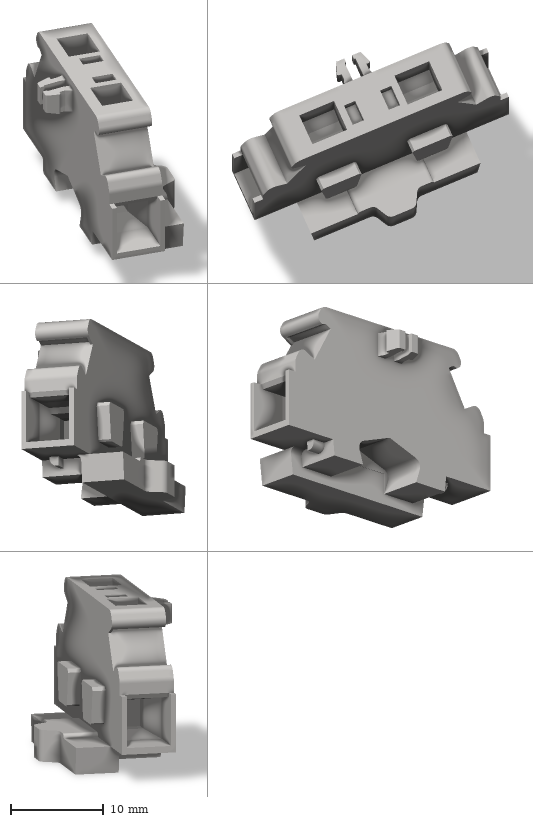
import cadquery as cq
import math


half_length = 15.0
housing_width = 6.05
housing_top = 18.0
housing_base = 3.0
wall = 0.55

lip_angle = math.radians(30)
steep_run = math.tan(lip_angle)
socket_top = 9.4
hump_side = 14.0
hump_corner_z = 10.9
hump_corner_radius = 0.92
hump_peak = (13.12, 12.49)
hump_peak_radius = 0.8
notch_root = (11.17, 11.5)
lip_corner_z = 15.28
hook_top_x = 9.97
hook_top_radius = 0.94
hook_side_radius = 0.75

undercut_depth = 0.35
undercut_length = 0.82
undercut_start = 1.2
undercut_back_wall = 0.3

foot_bottom = 1.2
foot_outer_top = 8.4
foot_outer_bottom = 8.2
foot_inner = 3.95
arch_corner = (4.77, 3.68)
arch_corner_radius = 0.95
arch_peak = 5.32
arch_depth = 5.0

clip_front = 5.05
clip_back = 9.88
clip_half_top = 10.0
clip_half_bottom = 9.63
clip_fillet = 0.65
tongue_half = 4.5
tongue_top = 3.5
tongue_edge_radius = 0.5
tongue_tip_y = 11.79
tongue_base_half = 2.55
tongue_tip_half = 1.56
tongue_curve_radius = 0.8

rib_front = 1.43
rib_back = 2.45
rib_bottom = 2.0
rib_radius = 0.8

socket_floor_thickness = 0.73
socket_floor = housing_base + socket_floor_thickness
socket_ceiling = 8.88
socket_lead_in = 0.3
funnel_start = 10.75
funnel_step = 9.4
funnel_step_top = 8.53
funnel_lip = 9.05
funnel_lip_top = 7.9
funnel_end = 7.8
throat_front = 1.83
throat_back = 4.22
throat_floor = 4.36
throat_top = 7.63
throat_end = 6.4

screw_x = (3.57, 7.66)
screw_y = (1.34, 4.89)
screw_flat_y = (2.62, 3.64)
screw_wall_depth = 3.1
screw_depth = 3.65
test_x = (1.47, 2.79)
test_y = (2.25, 4.63)
test_depth = 1.25

plate_thickness = 1.45
plate_inner = 3.0
plate_outer = 7.75
plate_top = 9.14
plate_bottom = 4.88
plate_shoulder = 8.73
plate_heel = 5.08
plate_bevel = 0.25
plate_taper = 0.55

pin_length = 3.0
pin_root = 1.75
pin_neck = 1.46
pin_neck_start = 0.8
pin_barb = 1.94
pin_barb_start = 1.43
pin_barb_corner = 0.15
pin_inner = 0.64
pin_toe_inner = 0.46
pin_toe_start = 2.52
pin_bottom = 14.28
pin_top = 16.93
pin_tip_inset = 0.27
pin_tip_radius = 0.25


def extrude_y(points, y_start, y_end):
    """Prism with an X-Z outline between two Y positions."""
    sketch = cq.Workplane("XZ", origin=(0, y_start, 0)).polyline(points).close()
    return sketch.extrude(y_start - y_end)


def extrude_x(points, x_start, x_end):
    """Prism with a Y-Z outline between two X positions."""
    return cq.Workplane("YZ", origin=(x_start, 0, 0)).polyline(points).close().extrude(x_end - x_start)


def box(x_range, y_range, z_range):
    sizes = [span[1] - span[0] for span in (x_range, y_range, z_range)]
    corner = (x_range[0], y_range[0], z_range[0])
    return cq.Workplane("XY", origin=corner).box(*sizes, centered=False)


def round_y_edge(solid, corner, radius):
    """Round the edge along Y that passes nearest to an X-Z corner."""
    middle = (corner[0], housing_width / 2, corner[1])
    return solid.edges("|Y").edges(cq.selectors.NearestToPointSelector(middle)).fillet(radius)


def both_sides(solid):
    return solid.union(solid.mirror("YZ"))


def slant_x(z):
    """X of the 60 degree notch flank at height z."""
    return notch_root[0] - (z - notch_root[1]) * steep_run


lip_corner = (slant_x(lip_corner_z), lip_corner_z)


def lip_point(distance):
    """Point on the hook underside, which is square to the notch flank."""
    return (lip_corner[0] + distance * math.cos(lip_angle), lip_corner[1] + distance * math.sin(lip_angle))


def make_half_housing():
    hook_top = (hook_top_x, housing_top)
    lip_length = ((hook_top_x - lip_corner[0]) * math.cos(lip_angle)
                  + (housing_top - lip_corner[1]) * math.sin(lip_angle))
    hook_side = lip_point(lip_length)
    hump_corner = (hump_side, hump_corner_z)
    outline = [
        (0, housing_base), (half_length, housing_base), (half_length, socket_top),
        (hump_side, socket_top), hump_corner, hump_peak, notch_root, lip_corner,
        hook_side, hook_top, (0, housing_top),
    ]
    half = extrude_y(outline, 0, housing_width)
    half = round_y_edge(half, hump_corner, hump_corner_radius)
    half = round_y_edge(half, hump_peak, hump_peak_radius)
    half = round_y_edge(half, hook_side, hook_side_radius)
    return round_y_edge(half, hook_top, hook_top_radius)


def make_undercut():
    top_z = lip_corner_z + undercut_depth
    top = (slant_x(top_z), top_z)
    back = (top[0] + undercut_length * math.cos(lip_angle), top[1] + undercut_length * math.sin(lip_angle))
    outline = [lip_corner, top, back, lip_point(undercut_start)]
    return extrude_y(outline, 0, housing_width - undercut_back_wall)


def make_foot():
    outline = [
        (0, housing_base), (foot_outer_top, housing_base),
        (foot_outer_bottom, foot_bottom), (0, foot_bottom),
    ]
    return extrude_y(outline, 0, clip_front)


def make_arch():
    """Rounded roof-shaped recess between the feet, closed by a thin back wall."""
    left = (-arch_corner[0], arch_corner[1])
    outline = [
        (-foot_inner, foot_bottom), left, (0, arch_peak), arch_corner, (foot_inner, foot_bottom),
    ]
    arch = extrude_y(outline, 0, arch_depth)
    arch = round_y_edge(arch, arch_corner, arch_corner_radius)
    arch = round_y_edge(arch, left, arch_corner_radius)
    window = box((-foot_inner, foot_inner), (0, clip_front), (foot_bottom, tongue_top))
    return arch.union(window)


def make_clip_prism(y_start, y_end):
    """Stretch of the clip plate with its tapered sides."""
    outline = [
        (-clip_half_bottom, 0), (clip_half_bottom, 0),
        (clip_half_top, housing_base), (-clip_half_top, housing_base),
    ]
    return extrude_y(outline, y_start, y_end)


def make_clip():
    plate = make_clip_prism(clip_front, clip_back)
    pad = box((-tongue_half, tongue_half), (clip_front, clip_back), (0, tongue_top))
    pad = pad.edges("|Y and >Z").fillet(tongue_edge_radius)
    flat_half = tongue_half - tongue_edge_radius
    tongue_plan = [
        (-flat_half, clip_front), (-flat_half, clip_back), (-tongue_base_half, clip_back),
        (-tongue_tip_half, tongue_tip_y), (tongue_tip_half, tongue_tip_y),
        (tongue_base_half, clip_back), (flat_half, clip_back), (flat_half, clip_front),
    ]
    tongue = cq.Workplane("XY").polyline(tongue_plan).close().extrude(tongue_top)
    for half_width, y in ((tongue_base_half, clip_back), (tongue_tip_half, tongue_tip_y)):
        for x in (-half_width, half_width):
            corner = cq.selectors.NearestToPointSelector((x, y, tongue_top / 2))
            tongue = tongue.edges("|Z").edges(corner).fillet(tongue_curve_radius)
    return plate.union(pad).union(tongue)


def make_clip_fillet():
    """Concave fillet between the clip front and the housing underside."""
    start = (clip_front, housing_base - clip_fillet)
    end = (clip_front - clip_fillet, housing_base)
    middle_offset = clip_fillet * (1 - math.sqrt(0.5))
    middle = (clip_front - middle_offset, housing_base - middle_offset)
    sketch = cq.Workplane("YZ", origin=(foot_outer_bottom, 0, 0)).moveTo(*start)
    sketch = sketch.threePointArc(middle, end).lineTo(clip_front, housing_base).close()
    fillet = sketch.extrude(clip_half_top - foot_outer_bottom)
    return fillet.intersect(make_clip_prism(0, clip_front))


def make_rib():
    rib = box((foot_outer_bottom, clip_half_top), (rib_front, rib_back), (rib_bottom, housing_base))
    rib = rib.edges("|X and <Y and <Z").fillet(rib_radius)
    return rib.intersect(make_clip_prism(0, clip_front))


def make_socket():
    """Straight mouth, then a funnel narrowing to a rectangular throat."""
    mouth_front = wall
    mouth_back = housing_width - wall
    side = [
        (half_length, socket_floor), (half_length, socket_top), (hump_side, socket_top),
        (hump_side - socket_lead_in, socket_ceiling), (funnel_start, socket_ceiling),
        (funnel_step, funnel_step_top), (funnel_lip, funnel_lip_top), (funnel_end, throat_top),
        (funnel_end, throat_floor), (funnel_start, socket_floor),
    ]
    plan = [
        (half_length, mouth_front), (half_length, mouth_back), (funnel_start, mouth_back),
        (funnel_end, throat_back), (funnel_end, throat_front), (funnel_start, mouth_front),
    ]
    narrowing = cq.Workplane("XY").polyline(plan).close().extrude(housing_top)
    funnel = extrude_y(side, mouth_front, mouth_back).intersect(narrowing)
    throat = box((throat_end, funnel_end), (throat_front, throat_back), (throat_floor, throat_top))
    return funnel.union(throat)


def make_screw_pocket():
    shoulder = housing_top - screw_wall_depth
    floor = housing_top - screw_depth
    outline = [
        (screw_y[0], housing_top), (screw_y[0], shoulder), (screw_flat_y[0], floor),
        (screw_flat_y[1], floor), (screw_y[1], shoulder), (screw_y[1], housing_top),
    ]
    return extrude_x(outline, *screw_x)


def make_test_pocket():
    return box(test_x, test_y, (housing_top - test_depth, housing_top))


def make_back_plate():
    outline = [
        (plate_inner + plate_bevel, plate_top), (plate_outer - plate_bevel, plate_top),
        (plate_outer, plate_shoulder), (plate_outer - plate_taper, plate_heel),
        (plate_outer - plate_taper - plate_bevel, plate_bottom),
        (plate_inner + plate_taper + plate_bevel, plate_bottom),
        (plate_inner + plate_taper, plate_heel), (plate_inner, plate_shoulder),
    ]
    return extrude_y(outline, housing_width, housing_width + plate_thickness)


def make_pin():
    plan = [
        (pin_inner, 0), (pin_root, 0), (pin_neck, -pin_neck_start), (pin_neck, -pin_barb_start),
        (pin_barb - pin_barb_corner, -pin_barb_start),
        (pin_barb, -pin_barb_start - pin_barb_corner), (pin_neck, -pin_length),
        (pin_toe_inner, -pin_length), (pin_toe_inner, -pin_toe_start), (pin_inner, -pin_toe_start),
    ]
    side = [
        (0, pin_bottom), (0, pin_top), (-pin_neck_start, pin_top),
        (-pin_length, pin_top - pin_tip_inset), (-pin_length, pin_bottom + pin_tip_inset),
        (-pin_neck_start, pin_bottom),
    ]
    pin = cq.Workplane("XY", origin=(0, 0, pin_bottom)).polyline(plan).close()
    pin = pin.extrude(pin_top - pin_bottom)
    tip_corner = cq.selectors.NearestToPointSelector((pin_neck, -pin_length, (pin_bottom + pin_top) / 2))
    pin = pin.edges("|Z").edges(tip_corner).fillet(pin_tip_radius)
    return pin.intersect(extrude_x(side, 0, pin_barb))


half_body = make_half_housing().union(make_foot()).union(make_clip_fillet()).union(make_rib())
result = both_sides(half_body).cut(make_arch()).union(make_clip())
for make_cut in (make_undercut, make_socket, make_screw_pocket, make_test_pocket):
    result = result.cut(both_sides(make_cut()))
for make_addition in (make_back_plate, make_pin):
    result = result.union(both_sides(make_addition()))